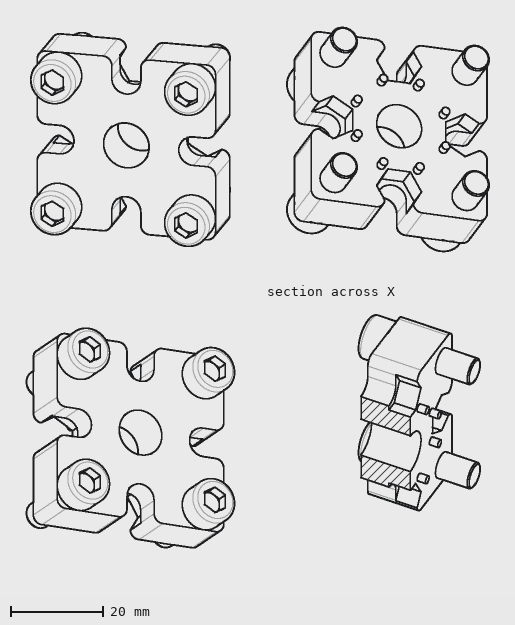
import cadquery as cq
import math

plate_side = 40.0
plate_thickness = 12.0
corner_radius = 2.0
bore_diameter = 10.2

head_diameter = 10.0
head_height = 6.0
head_edge_radius = 0.8
shank_diameter = 6.0
shank_projection = 8.0
shank_chamfer = 0.3
socket_across_flats = 5.0
socket_depth = 3.0
socket_cone_angle = 120.0
screw_offset = (plate_side - head_diameter) / 2

notch_width = 6.5
notch_center_offset = 15.0
nut_across_flats = 8.8
nut_pocket_depth = 5.2

pin_diameter = 1.8
pin_projection = 2.0
pin_circle_radius = 10.8
pin_count = 8

plate_front = 0.0
plate_back = plate_front + plate_thickness
head_front = plate_front - head_height
shank_end = plate_back + shank_projection

side_angles = (0, 90, 180, 270)
screw_centers = [(sx * screw_offset, sz * screw_offset) for sx in (-1, 1) for sz in (-1, 1)]


def plane_at(y):
    """XZ sketch plane at the given Y level: local axes are X and Z, extrusion runs towards +Y."""
    return cq.Workplane(cq.Plane(origin=(0, y, 0), xDir=(1, 0, 0), normal=(0, -1, 0)))


def prism(sketch, length):
    """Extrude a sketch towards +Y."""
    return sketch.extrude(-length)


def hexagon(y, across_flats):
    """Hexagon with two corners on the local X axis."""
    return plane_at(y).polygon(6, across_flats / math.cos(math.pi / 6))


def turn(solid, angle):
    """Rotate about the Y axis."""
    return solid.rotate((0, 0, 0), (0, 1, 0), angle)


def make_plate():
    """Square plate with notches, all outline corners rounded, and a central bore."""
    plate = prism(plane_at(plate_front).rect(plate_side, plate_side), plate_thickness)
    half_side = plate_side / 2
    notch_length = half_side - notch_center_offset
    straight = prism(
        plane_at(plate_front)
        .center(0, notch_center_offset + notch_length / 2)
        .rect(notch_width, notch_length),
        plate_thickness,
    )
    round_end = prism(
        plane_at(plate_front).center(0, notch_center_offset).circle(notch_width / 2),
        plate_thickness,
    )
    notch = straight.union(round_end)
    for angle in side_angles:
        plate = plate.cut(turn(notch, angle))

    inner = half_side - corner_radius
    inner_box = cq.selectors.BoxSelector(
        (-inner, plate_front, -inner),
        (inner, plate_back, inner),
    )
    plate = plate.edges(cq.selectors.StringSyntaxSelector("|Y") - inner_box).fillet(corner_radius)
    return plate.cut(prism(plane_at(plate_front).circle(bore_diameter / 2), plate_thickness))


def cut_nut_pockets(plate):
    """Hexagonal pockets open to the back, one flat facing the centre of the plate."""
    pocket = prism(hexagon(plate_back - nut_pocket_depth, nut_across_flats), nut_pocket_depth)
    pocket = pocket.translate((0, 0, notch_center_offset))
    for angle in side_angles:
        plate = plate.cut(turn(pocket, angle))
    return plate


def make_screw():
    """Socket head screw on the Y axis, its head resting on the plate front."""
    head = prism(plane_at(head_front).circle(head_diameter / 2), head_height)
    head = head.faces("<Y").edges().fillet(head_edge_radius)
    shank = prism(plane_at(plate_front).circle(shank_diameter / 2), shank_end - plate_front)
    shank = shank.faces(">Y").edges().chamfer(shank_chamfer)

    socket = turn(prism(hexagon(head_front, socket_across_flats), socket_depth), 90)
    cone_radius = socket_across_flats / 2
    cone_depth = cone_radius / math.tan(math.radians(socket_cone_angle / 2))
    cone = cq.Workplane(
        cq.Solid.makeCone(
            cone_radius,
            0,
            cone_depth,
            pnt=cq.Vector(0, head_front + socket_depth, 0),
            dir=cq.Vector(0, 1, 0),
        )
    )
    return head.union(shank).cut(socket).cut(cone)


def make_pins():
    """Pins evenly spaced on a circle, none of them on the X or Z axis."""
    pins = plane_at(plate_back - pin_projection).polarArray(
        pin_circle_radius, 180 / pin_count, 360, pin_count
    )
    return prism(pins.circle(pin_diameter / 2), 2 * pin_projection)


body = cut_nut_pockets(make_plate())
screw = make_screw()
for x, z in screw_centers:
    body = body.union(screw.translate((x, 0, z)))
result = body.union(make_pins())